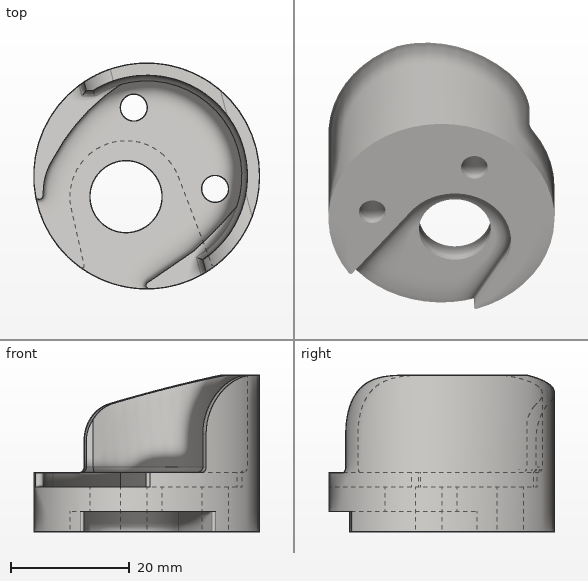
import cadquery as cq
import math

outer_radius = 19.05
shelf_height = 10.0
floor_height = 7.55
total_height = 26.4
underside_depth = 3.43

wall_inner_radius = 17.0
foot_fillet = 0.95
trim_angle = 15.0
crest_start = 15.75
left_end = -6.1
left_end_flat_y = 14.4
left_corner_radius = 6.6
slope_angle = math.radians(15.6)
right_corner_radius = 9.9
right_end = 5.5

pocket_radius = wall_inner_radius - foot_fillet
pocket_left_start_x = -4.4
pocket_right_end_x = 15.2
overrun = 3.8

main_hole_radius = 6.05
main_hole_offset = -3.485
pin_hole_radius = 2.25
pin_hole_far = 11.525
pin_hole_near = -2.17

recess_radius = 9.45
recess_right_mouth = (11.43, -16.1)
recess_left_mouth = (-10.25, -16.4)
recess_tip_radius = 0.4


def disc(radius, height):
    return cq.Workplane("XY").circle(radius).extrude(height)


def trim_plane():
    """Vertical plane whose local X is the trim axis and local Y is Z."""
    turn = math.radians(trim_angle)
    return cq.Workplane(
        cq.Plane(
            origin=(0, 0, 0),
            xDir=(math.cos(turn), math.sin(turn), 0),
            normal=(math.sin(turn), -math.cos(turn), 0),
        )
    )


def left_wall_envelope():
    """Upright end, rounded corner and a slope rising to the crest."""
    slope_start_x = left_end + left_corner_radius * (1 - math.sin(slope_angle))
    slope_start_z = total_height - (crest_start - slope_start_x) * math.tan(slope_angle)
    corner_z = slope_start_z - left_corner_radius * math.cos(slope_angle)
    middle = (math.pi + math.pi / 2 + slope_angle) / 2
    corner_middle = (
        left_end + left_corner_radius * (1 + math.cos(middle)),
        corner_z + left_corner_radius * math.sin(middle),
    )
    return (
        trim_plane()
        .moveTo(left_end, 0)
        .lineTo(left_end, corner_z)
        .threePointArc(corner_middle, (slope_start_x, slope_start_z))
        .lineTo(crest_start, total_height)
        .lineTo(outer_radius + overrun, total_height)
        .lineTo(outer_radius + overrun, 0)
        .close()
        .extrude(-outer_radius - overrun)
    )


def right_wall_envelope():
    """Upright end and a quarter round leading into the level crest."""
    return (
        trim_plane()
        .moveTo(right_end, 0)
        .lineTo(right_end, total_height - right_corner_radius)
        .radiusArc((right_end + right_corner_radius, total_height), right_corner_radius)
        .lineTo(outer_radius + overrun, total_height)
        .lineTo(outer_radius + overrun, 0)
        .close()
        .extrude(outer_radius + overrun)
    )


def make_wall():
    """Trimmed wall, left thicker than needed so that the outer cylinder can cut it back."""
    outside = disc(outer_radius + overrun / 2, total_height)
    ring = outside.cut(disc(wall_inner_radius, total_height))
    wall = ring.intersect(left_wall_envelope().union(right_wall_envelope()))
    tip_trim = cq.Workplane("XY").box(outer_radius, left_end_flat_y, total_height, centered=False)
    return wall.cut(tip_trim.translate((-outer_radius, 0, 0)))


def make_base_with_wall():
    """Round the whole foot of the oversize wall, then trim to the outer cylinder."""
    oversize = disc(outer_radius + 2 * overrun, shelf_height).union(make_wall())
    shelf_face = oversize.faces("+Z").faces("<Z")
    foot = shelf_face.val().innerWires()[0].Edges()
    filleted = oversize.newObject(foot).fillet(foot_fillet)
    return filleted.intersect(disc(outer_radius, total_height))


def on_pocket_circle(x, side):
    """Point of the pocket circle at x, with side +1 for positive Y and -1 for negative Y."""
    return (x, side * math.sqrt(pocket_radius**2 - x**2))


def make_floor_pocket():
    """Rounded floor pocket that opens through the front-left of the rim."""
    beyond = -outer_radius - overrun
    circle_middle = (pocket_radius / math.sqrt(2), pocket_radius / math.sqrt(2))
    left_start = on_pocket_circle(pocket_left_start_x, 1)
    right_end_point = on_pocket_circle(pocket_right_end_x, -1)
    return (
        cq.Workplane("XY", origin=(0, 0, floor_height))
        .moveTo(*left_start)
        .threePointArc((-11.4, 9.3), (-15.77, 2.9))
        .threePointArc((-17.05, 0), (-17.45, -3.35))
        .threePointArc((-18.05, -3.92), (-18.8, -3.35))
        .lineTo(beyond, -3.35)
        .lineTo(beyond, beyond)
        .lineTo(0.55, beyond)
        .lineTo(0.55, -19.0)
        .threePointArc((-0.1, -18.48), (0.3, -17.85))
        .lineTo(7.95, -12.6)
        .threePointArc((12.0, -8.7), right_end_point)
        .threePointArc(circle_middle, left_start)
        .close()
        .extrude(shelf_height - floor_height)
    )


def tangent_point(point, side):
    """Touch point on the recess circle of the tangent through an outside point."""
    dx = point[0] - main_hole_offset
    dy = point[1] - main_hole_offset
    angle = math.atan2(dy, dx) + side * math.acos(recess_radius / math.hypot(dx, dy))
    return (
        main_hole_offset + recess_radius * math.cos(angle),
        main_hole_offset + recess_radius * math.sin(angle),
    )


def make_underside_recess():
    """Round recess about the main hole with a mouth flaring to the front rim."""
    mouth = (
        cq.Workplane("XY")
        .polyline([
            tangent_point(recess_left_mouth, -1),
            recess_left_mouth,
            (recess_left_mouth[0], -outer_radius - overrun),
            (recess_right_mouth[0], -outer_radius - overrun),
            recess_right_mouth,
            tangent_point(recess_right_mouth, 1),
        ])
        .close()
        .extrude(underside_depth)
    )
    bore = disc(recess_radius, underside_depth).translate((main_hole_offset, main_hole_offset, 0))
    return bore.union(mouth)


def make_holes():
    main = disc(main_hole_radius, total_height).translate((main_hole_offset, main_hole_offset, 0))
    pins = (
        cq.Workplane("XY")
        .pushPoints([(pin_hole_near, pin_hole_far), (pin_hole_far, pin_hole_near)])
        .circle(pin_hole_radius)
        .extrude(total_height)
    )
    return main.union(pins)


def round_recess_tips(body):
    """Soften the two upright edges where the recess walls break through the rim."""
    def is_tip(edge):
        box = edge.BoundingBox()
        within_recess = box.zmin < underside_depth / 2 and box.zmax < underside_depth + 0.05
        point = edge.Center()
        at_rim = math.hypot(point.x, point.y) > outer_radius - 0.05
        return within_recess and at_rim

    upright = body.edges("|Z").vals()
    return body.newObject([edge for edge in upright if is_tip(edge)]).fillet(recess_tip_radius)


base = make_base_with_wall()
recessed = round_recess_tips(base.cut(make_underside_recess()))
result = recessed.cut(make_floor_pocket()).cut(make_holes())